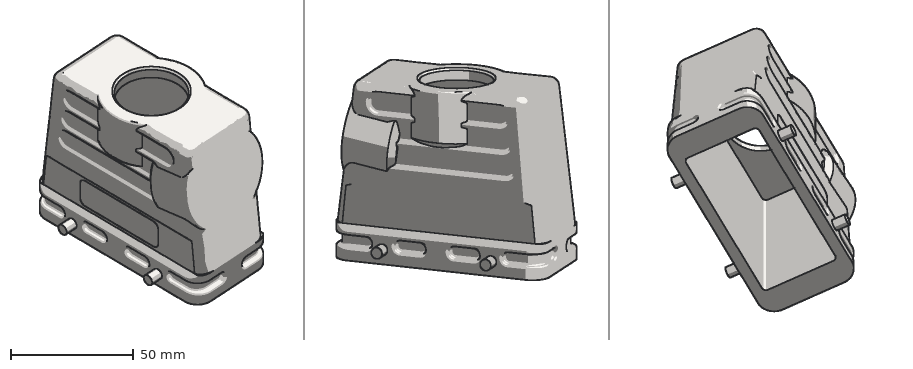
import cadquery as cq
import math

LENGTH = 93.5
HEIGHT = 76.0
PIN_SPAN = 55.0

BASE_WIDTH = 43.2
BASE_HEIGHT = 15.1
BASE_CHAMFER_HEIGHT = 2.4
BASE_CORNER_RADIUS = 7.5

HOOD_WIDTH = 40.0
HOOD_END_LEAN = 8.1
HOOD_TOP_CORNER_RADIUS = 4.0
HOOD_TOP_ROUND = 3.9

PANEL_DEPTH = 0.75
PANEL_HEIGHT = 17.3
PANEL_WALL_ANGLE = 48.0
NAMEPLATE_LENGTH = 43.95
NAMEPLATE_HEIGHT = 13.2
NAMEPLATE_CENTRE_Z = 23.1
NAMEPLATE_CORNER_RADIUS = 2.8
NAMEPLATE_DEPTH = 0.1

GRIP_TOP_Z = 67.6
GRIP_PITCH = 10.9
GRIP_END_CENTRES = ((-26.65, 26.65), (-27.9, 18.7), (-29.4, 29.4))
GRIP_HALF_HEIGHT = 5.2
GRIP_DEPTH = 1.3

BASE_GROOVE_Z = 8.1
BASE_GROOVE_HALF_HEIGHT = 3.6
BASE_GROOVE_DEPTH = 2.4
MIDDLE_GROOVE_INNER_X = 7.6
MIDDLE_GROOVE_OUTER_X = 16.3
CORNER_GROOVE_END_X = 31.2
CORNER_GROOVE_END_Y = 7.5

GROOVE_ROUND = 1.0
GRIP_WALL_ANGLE = 60.0
UPRIGHT_WALL_ANGLE = 90.0

RIM_ROUND = 0.9

COLLAR_RADIUS = 22.4
COLLAR_BOTTOM_Z = 51.8
BOSS_RADIUS = 22.5
BOSS_CENTRE_Z = 52.4
BOSS_LENGTH = 23.4
ROOT_CHAMFER = 2.4
BOSS_ROOT_CHAMFER = 2.8

OPENING_DIAMETER = 30.4
OPENING_CHAMFER = 0.9
ROOF_THICKNESS = 5.05
CAVITY_LENGTH = 71.1
CAVITY_WIDTH = 33.7
CAVITY_CORNER_RADIUS = 1.9

PIN_DIAMETER = 4.8
PIN_X = 24.0
PIN_Z = 6.3

CUT_MARGIN = 2.8

UP = cq.Vector(0, 0, 1)
lean_run = math.tan(math.radians(HOOD_END_LEAN))
hood_top_length = LENGTH - 2 * (HEIGHT - BASE_HEIGHT) * lean_run


def rounded_rectangle(length, width, radius):
    return cq.Sketch().rect(length, width).vertices().fillet(radius)


def both_long_sides(shape):
    """Join a shape with its mirror image across the lengthwise mid-plane."""
    return shape.union(shape.mirror("XZ"))



def half_profile(plane, half_height, depth, corner_round, wall_angle):
    """Half of a groove section: rounded rim, straight wall and rounded foot.

    Local x runs across the groove from its centre, local y points out of the wall.
    """
    angle = math.radians(wall_angle)
    arc_run = corner_round * math.sin(angle)
    arc_drop = corner_round * (1 - math.cos(angle))
    mid_run = corner_round * math.sin(angle / 2)
    mid_drop = corner_round * (1 - math.cos(angle / 2))
    wall_run = (depth - 2 * arc_drop) / math.tan(angle)
    floor_half = half_height - 2 * arc_run - wall_run
    return (
        cq.Workplane(plane)
        .moveTo(0, -depth)
        .lineTo(floor_half, -depth)
        .threePointArc(
            (floor_half + mid_run, -depth + mid_drop),
            (floor_half + arc_run, -depth + arc_drop),
        )
        .lineTo(half_height - arc_run, -arc_drop)
        .threePointArc((half_height - mid_run, -mid_drop), (half_height, 0))
        .lineTo(half_height, CUT_MARGIN)
        .lineTo(0, CUT_MARGIN)
        .close()
    )


def profile_plane(point, outward, across=UP):
    """Plane square to the run of a groove, placed on the wall surface."""
    return cq.Plane(origin=point, xDir=across, normal=across.cross(cq.Vector(*outward)))


def groove_end(point, outward, section):
    """Round end of a groove, turned about the wall normal."""
    return half_profile(profile_plane(point, outward), *section).revolve(360, (0, 0), (0, 1))


def groove_run(point, outward, length, section):
    """Straight stretch of a groove; a negative length runs the other way."""
    plane = profile_plane(point, outward)
    half = half_profile(plane, *section).extrude(length)
    return half.union(half.mirror("XY", (0, 0, point[2])))


def straight_groove(start_x, end_x, wall_y, z, section):
    """Groove with two round ends along the -Y wall."""
    outward = (0, -1, 0)
    start = (start_x, -wall_y, z)
    end = (end_x, -wall_y, z)
    groove = groove_run(start, outward, end_x - start_x, section)
    for point in (start, end):
        groove = groove.union(groove_end(point, outward, section))
    return groove


def corner_groove(section):
    """Groove that wraps around the -X, -Y corner of the base."""
    radius = BASE_CORNER_RADIUS
    wall_x = LENGTH / 2
    wall_y = BASE_WIDTH / 2
    front_start = (radius - wall_x, -wall_y, BASE_GROOVE_Z)
    front_end = (-CORNER_GROOVE_END_X, -wall_y, BASE_GROOVE_Z)
    side_start = (-wall_x, radius - wall_y, BASE_GROOVE_Z)
    side_end = (-wall_x, -CORNER_GROOVE_END_Y, BASE_GROOVE_Z)
    front_out = (0, -1, 0)
    side_out = (-1, 0, 0)

    turn = half_profile(profile_plane(front_start, front_out), *section)
    turn = turn.revolve(90, (0.9, -radius), (0, -radius))
    turn = turn.union(turn.mirror("XY", (0, 0, BASE_GROOVE_Z)))
    return (
        turn
        .union(groove_run(front_start, front_out, front_end[0] - front_start[0], section))
        .union(groove_run(side_start, side_out, side_start[1] - side_end[1], section))
        .union(groove_end(front_end, front_out, section))
        .union(groove_end(side_end, side_out, section))
    )



def make_base():
    base = (
        cq.Workplane("XY")
        .placeSketch(rounded_rectangle(LENGTH, BASE_WIDTH, BASE_CORNER_RADIUS))
        .extrude(BASE_HEIGHT)
    )
    outer_y = BASE_WIDTH / 2
    inner_y = HOOD_WIDTH / 2 - PANEL_DEPTH
    chamfer = (
        cq.Workplane("YZ")
        .moveTo(-outer_y, BASE_HEIGHT - BASE_CHAMFER_HEIGHT)
        .lineTo(-outer_y, BASE_HEIGHT)
        .lineTo(-inner_y, BASE_HEIGHT)
        .close()
        .extrude(LENGTH / 2, both=True)
    )
    base = base.cut(both_long_sides(chamfer))
    chamfer_foot = base.edges("|X").edges("not <Z").edges("<Y or >Y")
    return chamfer_foot.fillet(RIM_ROUND)


def make_hood():
    bottom = rounded_rectangle(LENGTH, HOOD_WIDTH, BASE_CORNER_RADIUS)
    top = rounded_rectangle(hood_top_length, HOOD_WIDTH, HOOD_TOP_CORNER_RADIUS)
    hood = (
        cq.Workplane("XY", origin=(0, 0, BASE_HEIGHT))
        .placeSketch(bottom, top.moved(cq.Location(cq.Vector(0, 0, HEIGHT - BASE_HEIGHT))))
        .loft(ruled=True)
    )
    return hood.faces(">Z").edges().fillet(HOOD_TOP_ROUND)


def make_panels():
    plane = profile_plane((-LENGTH / 2, -HOOD_WIDTH / 2, BASE_HEIGHT), (0, -1, 0))
    section = (PANEL_HEIGHT, PANEL_DEPTH, GROOVE_ROUND, PANEL_WALL_ANGLE)
    panel = half_profile(plane, *section).extrude(LENGTH)
    return both_long_sides(panel)


def make_nameplate_recess():
    panel_y = HOOD_WIDTH / 2 - PANEL_DEPTH
    outline = rounded_rectangle(NAMEPLATE_LENGTH, NAMEPLATE_HEIGHT, NAMEPLATE_CORNER_RADIUS)
    return (
        cq.Workplane("XZ", origin=(0, -panel_y, NAMEPLATE_CENTRE_Z))
        .placeSketch(outline)
        .extrude(-NAMEPLATE_DEPTH)
    )


def make_grip_grooves():
    section = (GRIP_HALF_HEIGHT, GRIP_DEPTH, GROOVE_ROUND, GRIP_WALL_ANGLE)
    grooves = cq.Workplane("XY")
    for row, (start_x, end_x) in enumerate(GRIP_END_CENTRES):
        z = GRIP_TOP_Z - row * GRIP_PITCH
        grooves = grooves.add(straight_groove(start_x, end_x, HOOD_WIDTH / 2, z, section))
    return both_long_sides(grooves.combine())


def make_base_grooves():
    section = (BASE_GROOVE_HALF_HEIGHT, BASE_GROOVE_DEPTH, GROOVE_ROUND, UPRIGHT_WALL_ANGLE)
    middle = straight_groove(
        -MIDDLE_GROOVE_OUTER_X, -MIDDLE_GROOVE_INNER_X, BASE_WIDTH / 2, BASE_GROOVE_Z, section
    )
    quarter = middle.union(corner_groove(section))
    return both_long_sides(quarter.union(quarter.mirror("YZ")))


def make_collar():
    return (
        cq.Workplane("XY", origin=(0, 0, COLLAR_BOTTOM_Z))
        .circle(COLLAR_RADIUS)
        .extrude(HEIGHT - COLLAR_BOTTOM_Z)
        .faces("<Z").chamfer(ROOT_CHAMFER)
        .faces(">Z").edges().fillet(RIM_ROUND)
    )


def make_boss():
    """Round boss, square to the leaning +X wall and ending flush with it.

    It stops below the rounded top edge of the hood.
    """
    lean = math.radians(HOOD_END_LEAN)
    face_x = LENGTH / 2 - (BOSS_CENTRE_Z - BASE_HEIGHT) * lean_run
    inward = cq.Vector(-math.cos(lean), 0, -math.sin(lean))
    plane = cq.Plane(origin=(face_x, 0, BOSS_CENTRE_Z), xDir=(0, 1, 0), normal=inward)
    boss = (
        cq.Workplane(plane)
        .circle(BOSS_RADIUS)
        .extrude(BOSS_LENGTH)
        .faces("<X").chamfer(BOSS_ROOT_CHAMFER)
        .faces(">X").edges().fillet(RIM_ROUND)
    )
    below_top_round = (
        cq.Workplane("XY")
        .rect(LENGTH, PIN_SPAN)
        .extrude(HEIGHT - HOOD_TOP_ROUND)
    )
    return boss.intersect(below_top_round)



def make_cavity():
    return (
        cq.Workplane("XY")
        .placeSketch(rounded_rectangle(CAVITY_LENGTH, CAVITY_WIDTH, CAVITY_CORNER_RADIUS))
        .extrude(HEIGHT - ROOF_THICKNESS)
    )


def make_opening():
    radius = OPENING_DIAMETER / 2
    bottom_z = HEIGHT - ROOF_THICKNESS
    return (
        cq.Workplane("XZ")
        .moveTo(0, bottom_z)
        .lineTo(radius, bottom_z)
        .lineTo(radius, HEIGHT - OPENING_CHAMFER)
        .lineTo(radius + OPENING_CHAMFER, HEIGHT)
        .lineTo(0, HEIGHT)
        .close()
        .revolve(360, (0, 0), (0, 1))
    )


def make_pins():
    pin = (
        cq.Workplane("XZ", origin=(0, -CAVITY_WIDTH / 2, 0))
        .pushPoints([(-PIN_X, PIN_Z), (PIN_X, PIN_Z)])
        .circle(PIN_DIAMETER / 2)
        .extrude((PIN_SPAN - CAVITY_WIDTH) / 2)
    )
    return both_long_sides(pin)


hood = (
    make_hood()
    .cut(make_panels())
    .cut(make_nameplate_recess())
    .cut(make_grip_grooves())
    .union(make_collar())
    .union(make_boss())
)
base = make_base().cut(make_base_grooves())

result = hood.union(base).cut(make_cavity()).cut(make_opening()).union(make_pins())